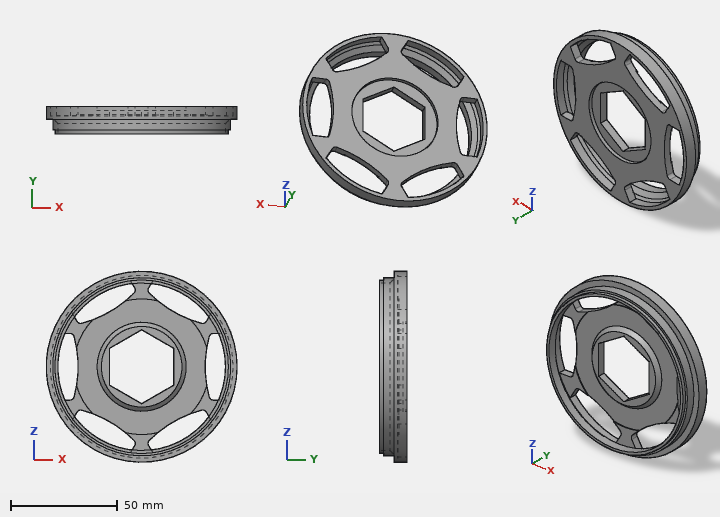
import cadquery as cq
import math

flange_radius = 45.0
flange_depth = 6.0
shoulder_radius = 41.9
shoulder_depth = 4.95
lip_radius = 40.9
lip_depth = 2.0
bore_radius = 39.4
cavity_radius = 43.0
cavity_depth = 4.5
rim_depth = flange_depth + shoulder_depth + lip_depth

spoke_front = 4.2
pocket_depth = 1.9
hub_front = 3.8
boss_front = 6.0
hub_radius = 31.95
boss_base_radius = 21.0
boss_top_radius = 19.0
hex_across_flats = 30.1

window_count = 6
window_inner_radius = 30.0
window_half_width = 15.7
window_arc_radius = 54.0
window_corner_radius = 2.0


def cylinder(radius, back, front):
    """Disc about the Y axis between two distances from the back face."""
    return cq.Workplane("XZ", origin=(0, -back, 0)).circle(radius).extrude(front - back)


def make_rim_opening():
    """Wide cavity around the web, narrowing at 45 degrees to the bore of the lip."""
    taper_front = cavity_depth + cavity_radius - bore_radius
    taper = (
        cq.Workplane("XZ", origin=(0, -cavity_depth, 0))
        .circle(cavity_radius)
        .workplane(offset=taper_front - cavity_depth)
        .circle(bore_radius)
        .loft()
    )
    opening = cylinder(cavity_radius, 0, cavity_depth).union(taper)
    return opening.union(cylinder(bore_radius, taper_front, rim_depth))


def make_rim():
    shoulder_front = flange_depth + shoulder_depth
    rim = cylinder(flange_radius, 0, flange_depth)
    rim = rim.union(cylinder(shoulder_radius, 0, shoulder_front))
    rim = rim.union(cylinder(lip_radius, 0, rim_depth))
    return rim.cut(make_rim_opening())


def make_web():
    web = cylinder((cavity_radius + flange_radius) / 2, 0, spoke_front)
    web = web.cut(cylinder(hub_radius, hub_front, spoke_front))
    web = web.cut(cylinder(boss_base_radius, 0, pocket_depth))
    boss = (
        cq.Workplane("XZ", origin=(0, -hub_front, 0))
        .circle(boss_base_radius)
        .workplane(offset=boss_front - hub_front)
        .circle(boss_top_radius)
        .loft()
    )
    return web.union(boss)


def make_window():
    """Window on the +X side: bowed inner edge, parallel ends, outer edge on the cavity wall."""
    arc_rise = window_arc_radius - math.sqrt(window_arc_radius**2 - window_half_width**2)
    inner_corner = window_inner_radius + arc_rise
    outline = (
        cq.Workplane("XZ")
        .moveTo(inner_corner, -window_half_width)
        .threePointArc((window_inner_radius, 0), (inner_corner, window_half_width))
        .lineTo(flange_radius, window_half_width)
        .lineTo(flange_radius, -window_half_width)
        .close()
        .extrude(spoke_front)
    )
    rounded = outline.edges("|Y").edges("<X").fillet(window_corner_radius)
    return rounded.intersect(cylinder(cavity_radius, 0, spoke_front))


def make_hexagon():
    corner_diameter = hex_across_flats / math.cos(math.pi / 6)
    hexagon = cq.Workplane("XZ").polygon(6, corner_diameter).extrude(rim_depth)
    return hexagon.rotate((0, 0, 0), (0, 1, 0), 30)


result = make_rim().union(make_web())
window = make_window()
for index in range(window_count):
    angle = index * 360 / window_count
    result = result.cut(window.rotate((0, 0, 0), (0, 1, 0), angle))
result = result.cut(make_hexagon())